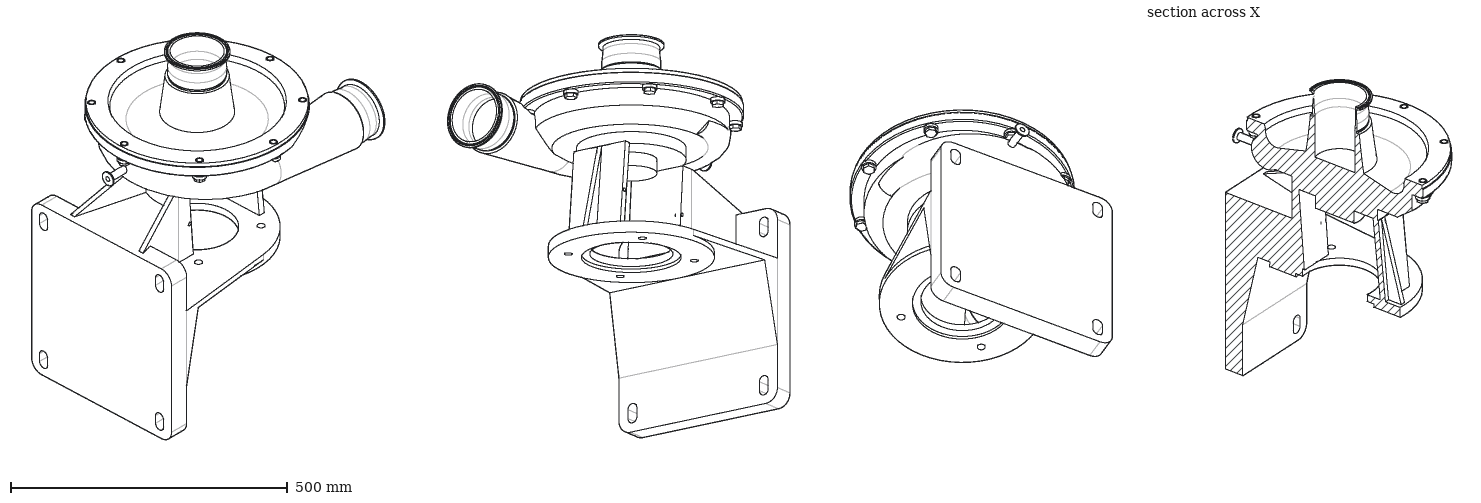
import cadquery as cq
import math


flange_radius = 203.0
cover_radius = 201.0
cover_top = 543.5
flange_top = 536.0
flange_bottom = 515.0
flange_chamfer = 2.5
body_radius = 177.5
body_corner_height = 481.5
body_floor = 456.0
body_floor_radius = 143.5
hub_radius = 99.0
hub_bottom = 434.0
shaft_radius = 46.5
shaft_bottom = 408.5

recess_inner_radius = 68.0
recess_inner_height = 521.0
recess_low_radius = 128.5
recess_low_height = 505.0
recess_outer_radius = 158.0
recess_wall_depth = 12.0
recess_wall_draft = 3.0

volute_height = 484.0
volute_start = (145.0, 27.5)
volute_end = (169.0, 41.0)
volute_sections = 9
outlet_x = 171.0
outlet_face = 250.0
outlet_tube_radius = 57.5
inlet_face = 652.5
inlet_tube_top_radius = 58.0
inlet_tube_base_radius = recess_inner_radius
ferrule_rim_radius = 59.5
ferrule_rim_thickness = 3.0
ferrule_waist_radius = 51.5
ferrule_waist_depth = 14.5
ferrule_barrel_radius = 53.5
ferrule_barrel_depth = 33.0
ferrule_length = 49.5
weld_radius = 52
weld_length = 4.0
seal_groove_radius = 55.0
seal_groove_width = 3.0
seal_groove_depth = 1.0
bore_mouth_radius = 49.0
bore_radius = 47.0
inlet_bore_floor = 515.5
outlet_bore_floor = 189

bolt_count = 8
bolt_circle_radius = 190.5
bolt_hole_radius = 7.0
bolt_radius = 5.0
bolt_hole_depth = 8.0
washer_radius = 13
washer_thickness = 6.5
nut_width = 22.0
nut_bottom = 502.0

drain_height = 487.5
drain_start = 176
drain_end = 233.5
drain_radius = 7.0
drain_rim_radius = 14.0
drain_rim_thickness = 2.5
drain_bore_radius = 4.5
drain_bore_depth = 39

plate_width = 350.0
plate_height = 369.0
plate_thickness = 40.0
plate_front = -outlet_face
plate_back = plate_front + plate_thickness
plate_corner = 25.5
slot_x = 145.0
slot_low = 35.0
slot_high = 335.5
slot_width = 19.5
slot_length = 36.5

shelf_top = 271.0
shelf_thickness = 12.0
ring_radius = 150
ring_thickness = 21.5
motor_hole_radius = 75.0
motor_spigot_radius = 90.0
motor_spigot_depth = 6.5
motor_bolt_circle_radius = 115.5
motor_bolt_hole_radius = 7.0
motor_bolt_count = 4
wedge_reach = 34.5
wedge_foot = 107.0

leg_half_width = 57.0
front_leg_inner_top = -81.5
front_leg_inner_bottom = -69.0
back_leg_inner_top = 87.0
back_leg_inner_bottom = 103.0
back_leg_thickness = 13
rib_thickness = 10.0
rib_reach = 145.0
gusset_start_y = -107.5
gusset_crest_y = -111
gusset_end_y = -236.0
gusset_end_x = 91.0
gusset_thickness = 10.5
guard_hole_radius = 3.0
guard_hole_depth = 13
guard_hole_height = 340.5
guard_hole_front_y = -79.0
guard_hole_back_y = 102.5


def cylinder(radius, bottom, top):
    return cq.Workplane("XY").workplane(offset=bottom).circle(radius).extrude(top - bottom)


def revolved(points):
    """Solid of revolution about Z from (radius, height) points."""
    return cq.Workplane("XZ").polyline(points).close().revolve(360, (0, 0, 0), (0, 1, 0))


def side_profile(points, width):
    """Plate of (y, z) outline, centred on X = 0."""
    return cq.Workplane("YZ").polyline(points).close().extrude(width / 2, both=True)


def make_casing():
    return revolved([
        (0, cover_top),
        (cover_radius, cover_top),
        (cover_radius, flange_top),
        (flange_radius, flange_top),
        (flange_radius, flange_bottom + flange_chamfer),
        (flange_radius - flange_chamfer, flange_bottom),
        (body_radius, flange_bottom),
        (body_radius, body_corner_height),
        (body_floor_radius, body_floor),
        (hub_radius, body_floor),
        (hub_radius, hub_bottom),
        (shaft_radius, hub_bottom),
        (shaft_radius, shaft_bottom),
        (0, shaft_bottom),
    ])


def make_recess():
    """Dished floor falling away from the inlet, then curving up to the rim."""
    return (
        cq.Workplane("XZ")
        .moveTo(0, recess_inner_height)
        .lineTo(recess_inner_radius, recess_inner_height)
        .lineTo(recess_low_radius, recess_low_height)
        .tangentArcPoint((recess_outer_radius, cover_top - recess_wall_depth), relative=False)
        .lineTo(recess_outer_radius + recess_wall_draft, cover_top)
        .lineTo(0, cover_top)
        .close()
        .revolve(360, (0, 0, 0), (0, 1, 0))
    )


def make_volute():
    """Half-turn scroll of growing round section, then a flaring tube to the outlet."""
    def ring(radius, path_radius, y, turn):
        """Circle across the flow, at a place turned about the pump axis from +X."""
        across = cq.Plane(origin=(path_radius, y, volute_height), xDir=(-1, 0, 0), normal=(0, 1, 0))
        return cq.Workplane(across).circle(radius).wire().val().rotate((0, 0, 0), (0, 0, 1), turn)

    rings = []
    for i in range(volute_sections):
        share = i / (volute_sections - 1)
        path_radius = volute_start[0] + share * (volute_end[0] - volute_start[0])
        tube_radius = volute_start[1] + share * (volute_end[1] - volute_start[1])
        rings.append(ring(tube_radius, path_radius, 0, 180 * (1 + share)))
    tube_end = ring(outlet_tube_radius, outlet_x, outlet_face - ferrule_length - weld_length, 0)
    scroll = cq.Workplane(cq.Solid.makeLoft(rings))
    return scroll.union(cq.Workplane(cq.Solid.makeLoft([rings[-1], tube_end])))


def make_ferrule():
    """Clamp ferrule with a seal groove in its face at the origin and its body running down -Z."""
    return revolved([
        (0, 0),
        (seal_groove_radius - seal_groove_width / 2, 0),
        (seal_groove_radius, -seal_groove_depth),
        (seal_groove_radius + seal_groove_width / 2, 0),
        (ferrule_rim_radius, 0),
        (ferrule_rim_radius, -ferrule_rim_thickness),
        (ferrule_waist_radius, -2 * ferrule_rim_thickness),
        (ferrule_waist_radius, -ferrule_waist_depth),
        (ferrule_barrel_radius, -ferrule_barrel_depth),
        (ferrule_barrel_radius, -ferrule_length),
        (weld_radius, -ferrule_length),
        (weld_radius, -ferrule_length - weld_length),
        (0, -ferrule_length - weld_length),
    ])


def make_bore(depth):
    """Bore of a ferrule, narrowing below its mouth."""
    return revolved([
        (0, 0),
        (bore_mouth_radius, 0),
        (bore_mouth_radius, -ferrule_barrel_depth),
        (bore_radius, -ferrule_length),
        (bore_radius, -depth),
        (0, -depth),
    ])


def at_inlet(body):
    return body.translate((0, 0, inlet_face))


def at_outlet(body):
    return body.rotate((0, 0, 0), (1, 0, 0), -90).translate((outlet_x, outlet_face, volute_height))


def make_inlet_tube():
    tube_top = inlet_face - ferrule_length - weld_length
    return revolved([
        (0, tube_top),
        (inlet_tube_top_radius, tube_top),
        (inlet_tube_base_radius, recess_inner_height),
        (inlet_tube_base_radius, recess_low_height),
        (0, recess_low_height),
    ])


def make_bolt_parts():
    """Washers and nuts under the flange, and the clearance rings around the bolts in the cover."""
    circle = cq.Workplane("XY").polarArray(bolt_circle_radius, 0, 360, bolt_count)
    washers = circle.circle(washer_radius).extrude(-washer_thickness)
    nuts = circle.polygon(6, nut_width).extrude(nut_bottom - flange_bottom)
    holes = circle.circle(bolt_hole_radius).circle(bolt_radius).extrude(-bolt_hole_depth)
    fasteners = washers.union(nuts).translate((0, 0, flange_bottom))
    return fasteners, holes.translate((0, 0, cover_top))


def make_drain():
    def rod(radius, start, end):
        sketch = cq.Workplane("XZ", origin=(0, -start, drain_height))
        return sketch.circle(radius).extrude(end - start)

    rim_start = drain_end - drain_rim_thickness
    pipe = rod(drain_radius, drain_start, drain_end).union(rod(drain_rim_radius, rim_start, drain_end))
    bevel = cq.Solid.makeCone(
        drain_radius,
        drain_rim_radius,
        drain_rim_thickness,
        pnt=cq.Vector(0, drain_rim_thickness - rim_start, drain_height),
        dir=cq.Vector(0, -1, 0),
    )
    return pipe.union(cq.Workplane(bevel)), rod(drain_bore_radius, drain_end - drain_bore_depth, drain_end)


def make_mounting_plate():
    plate = (
        cq.Workplane("XZ", origin=(0, plate_back, plate_height / 2))
        .rect(plate_width, plate_height)
        .extrude(plate_thickness)
        .edges("|Y")
        .fillet(plate_corner)
    )
    slots = (
        cq.Workplane("XZ", origin=(0, plate_back, 0))
        .pushPoints([(x, z) for x in (-slot_x, slot_x) for z in (slot_low, slot_high)])
        .slot2D(slot_length, slot_width, 90)
        .extrude(plate_thickness)
    )
    return plate, slots


def make_shelf():
    """Motor ring with a plate whose sides run tangent to it, wedged to the mounting plate."""
    half_width = plate_width / 2
    corner_distance = math.hypot(half_width, plate_back)
    lean = math.atan2(half_width, -plate_back) - math.asin(ring_radius / corner_distance)
    tangent_x = ring_radius * math.cos(lean)
    tangent_y = ring_radius * math.sin(lean)

    outline = (
        cq.Workplane("XY")
        .polyline([
            (-half_width, plate_back),
            (half_width, plate_back),
            (tangent_x, tangent_y),
            (-tangent_x, tangent_y),
        ])
        .close()
        .extrude(shelf_top)
    )
    shelf_bottom = shelf_top - shelf_thickness
    shelf_side = side_profile([
        (plate_back, wedge_foot),
        (plate_back, shelf_top),
        (ring_radius, shelf_top),
        (ring_radius, shelf_bottom),
        (plate_back + wedge_reach, shelf_bottom),
    ], plate_width)
    shelf = outline.intersect(shelf_side)
    shelf = shelf.union(cylinder(ring_radius, shelf_top - ring_thickness, shelf_top))
    shelf = shelf.cut(cylinder(motor_hole_radius, 0, shelf_top))
    ring_bottom = shelf_top - ring_thickness
    shelf = shelf.cut(cylinder(motor_spigot_radius, ring_bottom, ring_bottom + motor_spigot_depth))
    bolt_holes = (
        cq.Workplane("XY")
        .polarArray(motor_bolt_circle_radius, 45, 360, motor_bolt_count)
        .circle(motor_bolt_hole_radius)
        .extrude(shelf_top)
    )
    return shelf.cut(bolt_holes)


def make_front_leg():
    """Block under the hub, running to the mounting plate between two splayed gussets."""
    splay = (gusset_end_x - leg_half_width) / (gusset_start_y - gusset_end_y)

    def prism(inner_x, inset):
        """Block between the gusset faces, moved in by inset, and of half width inner_x at its inner end."""
        half_outline = [
            (inner_x, front_leg_inner_bottom),
            (leg_half_width - inset, gusset_start_y),
            (gusset_end_x - inset, gusset_end_y),
        ]
        mirrored = [(-x, y) for x, y in reversed(half_outline)]
        outline = cq.Workplane("XY", origin=(0, 0, shelf_top)).polyline(half_outline + mirrored).close()
        return outline.extrude(hub_bottom - shelf_top)

    slope_side = side_profile([
        (front_leg_inner_bottom, shelf_top),
        (front_leg_inner_top, hub_bottom),
        (gusset_crest_y, hub_bottom),
        (gusset_end_y, plate_height),
        (plate_back, plate_height),
        (plate_back, shelf_top),
    ], plate_width)
    opening_inner_x = leg_half_width - gusset_thickness
    opening_inner_x -= splay * (front_leg_inner_bottom - gusset_start_y)
    opening = prism(opening_inner_x, gusset_thickness).cut(cylinder(hub_radius, shelf_top, hub_bottom))
    opening = opening.intersect(cylinder(2 * plate_width, plate_height, hub_bottom))
    return prism(leg_half_width, 0).intersect(slope_side).cut(opening)


def make_back_leg():
    """Leaning plate with a triangular rib behind it."""
    wall = side_profile([
        (back_leg_inner_bottom, shelf_top),
        (back_leg_inner_top, hub_bottom),
        (back_leg_inner_top + back_leg_thickness, hub_bottom),
        (back_leg_inner_bottom + back_leg_thickness, shelf_top),
    ], 2 * leg_half_width)
    rib = side_profile([
        (back_leg_inner_bottom, shelf_top),
        (back_leg_inner_top, hub_bottom),
        (back_leg_inner_top + back_leg_thickness, hub_bottom),
        (rib_reach, shelf_top),
    ], rib_thickness)
    return wall.union(rib)


def make_guard_holes():
    """Blind holes in both side faces of each leg."""
    centres = [(guard_hole_front_y, guard_hole_height), (guard_hole_back_y, guard_hole_height)]
    hole = (
        cq.Workplane("YZ", origin=(-leg_half_width, 0, 0))
        .pushPoints(centres)
        .circle(guard_hole_radius)
        .extrude(guard_hole_depth)
    )
    return hole.union(hole.mirror("YZ"))


fasteners, bolt_holes = make_bolt_parts()
drain, drain_bore = make_drain()
mounting_plate, slots = make_mounting_plate()

pump = make_casing().union(make_volute()).cut(make_recess())
pump = pump.union(make_inlet_tube()).union(at_inlet(make_ferrule())).union(at_outlet(make_ferrule()))
pump = pump.union(fasteners).union(drain)
pump = pump.cut(at_inlet(make_bore(inlet_face - inlet_bore_floor)))
pump = pump.cut(at_outlet(make_bore(outlet_face - outlet_bore_floor)))
pump = pump.cut(bolt_holes).cut(drain_bore)

bracket = mounting_plate.union(make_shelf()).union(make_front_leg()).union(make_back_leg())
bracket = bracket.cut(slots).cut(make_guard_holes())

result = pump.union(bracket)